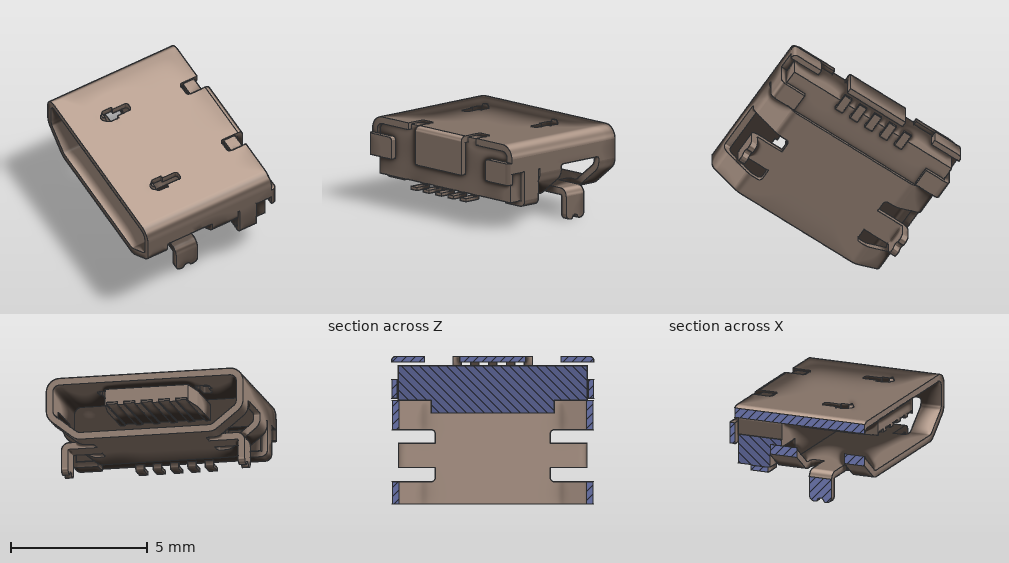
import cadquery as cq


width = 7.4
shell_height = 2.345
wall = 0.25
bend_radius = 0.5
slant_top = 0.88
floor_half_width = 2.59
tube_length = 5.21
total_length = 5.4
half_width = width / 2
roof_inner = shell_height - wall

opening_top = 1.3
window_front, window_rear = 0.82, 2.715
window_inner_x = 2.11
window_top_radius = 0.09
window_floor_radius = 0.14
leg_front, leg_rear = 1.33, 2.23
leg_outer_x = 3.45
leg_bottom = -0.9
leg_bend_radius = 0.295
leg_tip_radius = 0.21
leg_notch_half_width = 0.13
leg_notch_depth = 0.15
leg_notch_lip_radius = 0.07
floor_rear = 3.795
tab_front, tab_rear = 3.87, 4.565
slit_radius = 0.06
rear_sheet = 0.21
tab_bottom = -0.03
tab_foot_x = 2.67
tab_bend_radius = 0.245

flap_bottom = 0.9
side_flap_top = 1.71
side_flap_inner_x = 2.495
side_flap_bend_radius = 0.15
side_flap_end_radius = 0.12
center_flap_half_width = 1.21
center_flap_bend_radius = 0.2
flap_front = total_length - rear_sheet

notch_outer_x = 1.8
notch_front = 4.46
notch_radius = 0.11
latch_x = 1.83
slot_front, slot_shoulder, slot_rear = 1.295, 1.77, 2.375
slot_width = 0.35
slot_wide_width = 0.555
slot_radius = 0.11
slot_wide_radius = 0.15
bump_front = 1.18
bump_base_radius = 0.185
bump_top_radius = 0.14
bump_height = 0.1

housing_front = 3.33
housing_rear = 5.07
housing_half_width = 3.425
housing_corner_radius = 0.27
base_half_width = 3.46
base_bottom = tab_bottom + rear_sheet
base_top = 1.295
corner_step_x = 2.26
corner_step_z = 1.0
clip_clearance = 0.015
clip_top = 2.29
clip_front = 4.6

tongue_front = 0.3
tongue_bottom, tongue_top = 1.3, 1.9
tongue_half_width = 1.695
tongue_tip_half_width = 1.555
tongue_taper_length = 0.985

contact_count = 5
contact_pitch = 0.65
groove_width = 0.415
groove_depth = 0.11
contact_thickness = 0.06
contact_setback = 0.05
tail_width = 0.31
tail_bottom = -0.06
tail_thickness = 0.12
tail_front = 4.735
tail_bend_radius = 0.08


def block(x0, x1, y0, y1, z0, z1):
    """Box between opposite corners."""
    return cq.Workplane("XY").box(x1 - x0, y1 - y0, z1 - z0, centered=False).translate((x0, y0, z0))


def both_sides(body):
    """The body together with its mirror image across the YZ plane."""
    return body.union(body.mirror("YZ"))


def tube(inset, y_rear):
    """Solid with the tube's section, moved inward by the inset, from the mouth to y_rear."""
    section = cq.Workplane("XZ").polyline([
        (-floor_half_width, 0),
        (floor_half_width, 0),
        (half_width, slant_top),
        (half_width, shell_height),
        (-half_width, shell_height),
        (-half_width, slant_top),
    ]).close()
    if inset:
        section = section.offset2D(-inset)
    return section.extrude(-y_rear).edges("|Y").fillet(bend_radius - inset)


def side_openings():
    """Left-hand window and the cleared region behind the floor."""
    side_window = block(-width, -window_inner_x, window_front, window_rear, wall, opening_top)
    side_window = side_window.edges("|X and >Z").fillet(window_top_radius)
    floor_window = block(-width, -window_inner_x, window_front, window_rear, -wall, wall)
    floor_window = floor_window.edges("|Z and >X").fillet(window_floor_radius)
    rear = block(-width, 0, floor_rear, total_length, -wall, opening_top)
    return side_window.union(floor_window).union(rear)


def leg():
    """Left-hand board leg: a strip of the floor bent straight down, with a notched tip."""
    leg_inner_x = leg_outer_x - wall
    plate = block(-leg_outer_x, -window_inner_x, leg_front, leg_rear, leg_bottom, wall)
    plate = plate.edges("|Y and <X and >Z").fillet(leg_bend_radius)
    below_floor = block(-leg_inner_x, 0, leg_front, leg_rear, leg_bottom, 0)
    below_floor = below_floor.edges("|Y and <X and >Z").fillet(leg_bend_radius - wall)
    strip = plate.cut(below_floor).edges("|X and <Z").fillet(leg_tip_radius)
    middle = (leg_front + leg_rear) / 2
    notch = (
        cq.Workplane("YZ", origin=(-leg_outer_x, 0, 0))
        .moveTo(middle - leg_notch_half_width, leg_bottom)
        .threePointArc((middle, leg_bottom + leg_notch_depth), (middle + leg_notch_half_width, leg_bottom))
        .close()
        .extrude(wall)
    )
    tip_edges = strip.cut(notch).faces("<Z").edges("|X")
    lip_reach = leg_notch_half_width + leg_notch_lip_radius
    lips = tip_edges.filter(lambda edge: abs(edge.Center().y - middle) < lip_reach)
    return lips.fillet(leg_notch_lip_radius)


def rear_tab():
    """Left-hand tab that hangs from the side wall and folds in under the housing."""
    outside = block(-half_width, -tab_foot_x, tab_front, tab_rear, tab_bottom, opening_top)
    outside = outside.edges("|Y and <X and <Z").fillet(tab_bend_radius)
    inside = block(-half_width + rear_sheet, 0, tab_front, tab_rear, tab_bottom + rear_sheet, opening_top)
    return outside.cut(inside)


def slit_corner():
    """Rounded web in the tab-side top corner of the slit between wall and tab."""
    web = block(-half_width, -half_width + rear_sheet, tab_front - slit_radius, tab_front,
                opening_top - slit_radius, opening_top)
    bore = (
        cq.Workplane("YZ", origin=(-half_width, tab_front - slit_radius, opening_top - slit_radius))
        .circle(slit_radius)
        .extrude(rear_sheet)
    )
    return web.cut(bore)


def side_flap():
    """Left-hand flap folded from the side wall across the rear."""
    flap = block(-half_width, -side_flap_inner_x, flap_front, total_length, flap_bottom, side_flap_top)
    flap = flap.edges("|Z and <X and >Y").fillet(side_flap_bend_radius)
    return flap.edges("|Y and >X and >Z").fillet(side_flap_end_radius)


def center_flap():
    """Flap folded from the roof down over the rear of the housing."""
    flap = block(-center_flap_half_width, center_flap_half_width, flap_front, total_length,
                 flap_bottom, shell_height)
    return flap.edges("|X and >Y and >Z").fillet(center_flap_bend_radius)


def roof_notch():
    """Left-hand notch in the rear edge of the roof, beside the centre flap."""
    notch = block(-notch_outer_x, -center_flap_half_width, notch_front, total_length,
                  roof_inner, shell_height)
    return notch.edges("|Z and <Y").fillet(notch_radius)


def latch_slot():
    """Left-hand keyhole slot through the roof, wide at the front."""
    narrow = block(-latch_x - slot_width / 2, -latch_x + slot_width / 2, slot_front, slot_rear,
                   roof_inner, shell_height + bump_height)
    narrow = narrow.edges("|Z and >Y").fillet(slot_radius)
    wide = block(-latch_x - slot_wide_width / 2, -latch_x + slot_wide_width / 2, slot_front, slot_shoulder,
                 roof_inner, shell_height + bump_height)
    return narrow.union(wide.edges("|Z and <Y").fillet(slot_wide_radius))


def latch_bump():
    """Left-hand raised bump: the front slice of a cone frustum, ending flat at the slot."""
    frustum = cq.Solid.makeCone(
        bump_base_radius, bump_top_radius, bump_height,
        pnt=cq.Vector(-latch_x, bump_front + bump_base_radius, shell_height),
    )
    front_slice = block(-half_width, 0, 0, slot_front, shell_height, shell_height + bump_height)
    return cq.Workplane(frustum).intersect(front_slice)


def make_shell():
    body = tube(0, tube_length).cut(tube(wall, tube_length))
    body = body.cut(both_sides(side_openings()))
    for piece in (leg(), rear_tab(), slit_corner(), side_flap(), latch_bump()):
        body = body.union(both_sides(piece))
    body = body.union(center_flap())
    return body.cut(both_sides(roof_notch())).cut(both_sides(latch_slot()))


def roof_clip():
    """Left-hand block that rises into the roof notch."""
    return block(-notch_outer_x + clip_clearance, -center_flap_half_width - clip_clearance,
                 clip_front, housing_rear, roof_inner, clip_top)


def tongue():
    """Tongue that narrows toward the mouth."""
    taper_rear = tongue_front + tongue_taper_length
    return (
        cq.Workplane("XY", origin=(0, 0, tongue_bottom))
        .polyline([
            (-tongue_tip_half_width, tongue_front),
            (tongue_tip_half_width, tongue_front),
            (tongue_half_width, taper_rear),
            (tongue_half_width, housing_front),
            (-tongue_half_width, housing_front),
            (-tongue_half_width, taper_rear),
        ])
        .close()
        .extrude(tongue_top - tongue_bottom)
    )


def contact_groove(x):
    """Groove under the tongue, less the contact strip lying against its ceiling."""
    left, right = x - groove_width / 2, x + groove_width / 2
    ceiling = tongue_bottom + groove_depth
    groove = block(left, right, tongue_front, housing_front, tongue_bottom, ceiling)
    strip = block(left, right, tongue_front + contact_setback, housing_front,
                  ceiling - contact_thickness, ceiling)
    return groove.cut(strip)


def contact_tail(x):
    """Solder tail that drops from the housing and bends toward the rear."""
    left, right = x - tail_width / 2, x + tail_width / 2
    outside = block(left, right, tail_front, total_length, tail_bottom, base_bottom)
    outside = outside.edges("|X and <Y and <Z").fillet(tail_bend_radius)
    return outside.cut(block(left, right, tail_front + tail_thickness, total_length,
                             tail_bottom + tail_thickness, base_bottom))


def make_housing():
    upper = block(-housing_half_width, housing_half_width, housing_front, housing_rear, base_top, roof_inner)
    upper = upper.edges("|Y and >Z").fillet(housing_corner_radius)
    lower = block(-half_width, half_width, housing_front, housing_rear, wall, base_top)
    lower = lower.intersect(tube(wall, housing_rear))
    corner = block(-half_width, -corner_step_x, housing_front, housing_rear, 0, corner_step_z)
    lower = lower.cut(both_sides(corner))
    base = block(-base_half_width, base_half_width, floor_rear, housing_rear, base_bottom, base_top)
    body = upper.union(lower).union(base).union(both_sides(roof_clip())).union(tongue())
    for i in range(contact_count):
        x = (i - (contact_count - 1) / 2) * contact_pitch
        body = body.cut(contact_groove(x)).union(contact_tail(x))
    return body


shell = make_shell()
housing = make_housing()
result = cq.Compound.makeCompound([*shell.solids().vals(), *housing.solids().vals()])